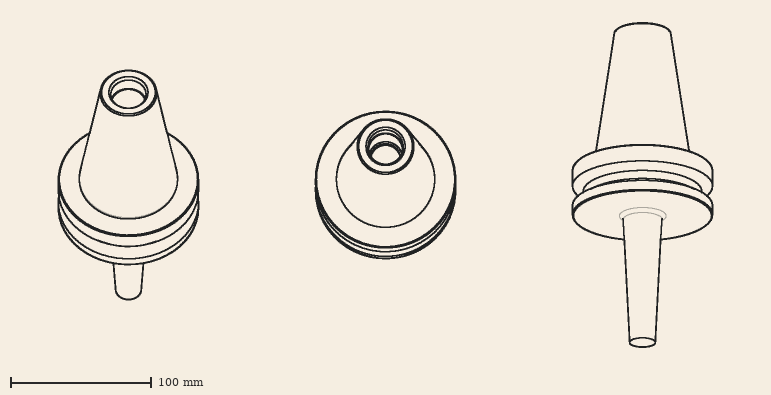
import cadquery as cq
import math

total_height = 236.8
flange_bottom = 96.9
flange_top = 132.1
taper_start = 134.0
groove_center = 112.0

taper_diameter = 70.0
taper_ratio = 7 / 24
taper_top_radius = (taper_diameter - (total_height - taper_start) * taper_ratio) / 2
taper_edge = 1.0

flange_radius = 100.0 / 2
flange_edge = 0.7
groove_radius = 42.5
groove_floor_width = 6.2
groove_wall_angle = 30
groove_mouth_edge = 1.2

shank_tip_radius = 9.2
shank_root_radius = 14.0
shank_fillet = 2.8

bore_mouth_radius = 14.0
counterbore_radius = 12.5
thread_radius = 12.0
drill_radius = 10.7
mouth_depth = 2.4
counterbore_depth = 12.5
step_depth = 0.2
thread_depth = 38.0
drill_depth = 42.6
drill_point_angle = 120


def revolve_profile(points):
    """Revolve (radius, height) points about the Z axis."""
    return cq.Workplane("XZ").polyline(points).close().revolve(360, (0, 0, 0), (0, 1, 0))


def make_taper():
    """Conical spindle shank standing on a short cylindrical collar."""
    base_radius = taper_diameter / 2
    taper = revolve_profile([
        (0, flange_bottom),
        (base_radius, flange_bottom),
        (base_radius, taper_start),
        (taper_top_radius, total_height),
        (0, total_height),
    ])
    return taper.faces(">Z").edges().chamfer(taper_edge)


def make_flange():
    """Disc with bevelled rims and a V-sided groove."""
    half_floor = groove_floor_width / 2
    wall_slope = math.tan(math.radians(groove_wall_angle))
    wall_height = (flange_radius - groove_mouth_edge - groove_radius) * wall_slope
    half_mouth = half_floor + wall_height
    bevel_radius = flange_radius - groove_mouth_edge
    half_rim = half_mouth + groove_mouth_edge * wall_slope
    return revolve_profile([
        (0, flange_bottom),
        (flange_radius - flange_edge, flange_bottom),
        (flange_radius, flange_bottom + flange_edge),
        (flange_radius, groove_center - half_rim),
        (bevel_radius, groove_center - half_mouth),
        (groove_radius, groove_center - half_floor),
        (groove_radius, groove_center + half_floor),
        (bevel_radius, groove_center + half_mouth),
        (flange_radius, groove_center + half_rim),
        (flange_radius, flange_top - flange_edge),
        (flange_radius - flange_edge, flange_top),
        (0, flange_top),
    ])


def make_shank():
    """Slender cone that narrows towards the tool end."""
    return revolve_profile([
        (0, 0),
        (shank_tip_radius, 0),
        (shank_root_radius, flange_bottom),
        (0, flange_bottom),
    ])


def make_bore():
    """Chamfered counterbore, plain thread bore and narrower drilled hole with a conical bottom."""
    step_top = total_height - counterbore_depth
    thread_end = total_height - thread_depth
    drill_end = total_height - drill_depth
    point_height = drill_radius / math.tan(math.radians(drill_point_angle / 2))
    return revolve_profile([
        (0, total_height),
        (bore_mouth_radius, total_height),
        (counterbore_radius, total_height - mouth_depth),
        (counterbore_radius, step_top),
        (thread_radius, step_top - step_depth),
        (thread_radius, thread_end),
        (drill_radius, thread_end),
        (drill_radius, drill_end),
        (0, drill_end - point_height),
    ])


body = make_taper().union(make_flange()).union(make_shank())

underside_center = (flange_radius / 2, 0, flange_bottom)
underside = body.faces(cq.selectors.NearestToPointSelector(underside_center))
body = underside.edges(cq.selectors.RadiusNthSelector(0)).fillet(shank_fillet)
result = body.cut(make_bore())